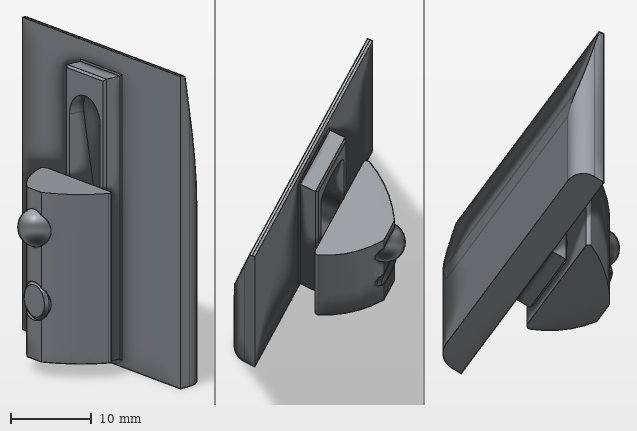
import cadquery as cq
import math


PLATE_WIDTH = 32.0
PLATE_HEIGHT = 40.5
PLATE_DEPTH = 3.8
PLATE_TOP_DEPTH = 0.73
TOP_RIDGE_Y = 0.35
TOP_EDGE_DROP = 0.12
BOTTOM_EDGE_RISE = 0.15
PLATE_SIDE_RADIUS = 2.4
WEDGE_ANGLE = math.radians(8.8)
WEDGE_BLEND_RADIUS = 34.42

BAR_WIDTH = 8.0
BAR_BOTTOM = 1.05
BAR_TOP = 37.7
BAR_DEPTH = 2.6
BAR_FRONT_CHAMFER = 0.3
BAR_FOOT_FLARE = 0.2
BAR_CENTER_Z = (BAR_BOTTOM + BAR_TOP) / 2
BAR_HEIGHT = BAR_TOP - BAR_BOTTOM

SLOT_WIDTH = 6.25
SLOT_TOP = 34.63
SLOT_BOTTOM = 14.6
SLOT_TOP_DEPTH = 1.75

HANDLE_BOTTOM = 1.95
HANDLE_TOP = 23.95
HANDLE_BACK = -3.55
HANDLE_FRONT = -10.55
HANDLE_BACK_HALF = 6.6
HANDLE_HALF_WIDTH = 6.93
HANDLE_SHOULDER = -4.2
CORNER_MID_X = 6.9
CORNER_MID_Y = -3.8
FLANK_MID_X = 4.7
FLANK_MID_Y = -7.75
HANDLE_FLAT_HALF = 1.45

PIN_DIAMETER = 5.0
PIN_TIP_DIAMETER = 4.15
PIN_TIP_CHAMFER = (PIN_DIAMETER - PIN_TIP_DIAMETER) / 2
PIN_Z = 9.5
PIN_BACK = 0.0
DOME_RADIUS = PIN_DIAMETER / 2
DOME_TIP = PLATE_DEPTH - 16.3
DOME_Z = 19.0


def make_plate():
    """Plate with a vertical lower back that blends into a wedge near the top."""
    slope = math.tan(WEDGE_ANGLE)
    wedge_top = PLATE_HEIGHT - TOP_EDGE_DROP
    blend_end_y = PLATE_DEPTH - WEDGE_BLEND_RADIUS * (1 - math.cos(WEDGE_ANGLE))
    blend_end_z = wedge_top - (blend_end_y - PLATE_TOP_DEPTH) / slope
    blend_start_z = blend_end_z - WEDGE_BLEND_RADIUS * math.sin(WEDGE_ANGLE)
    profile = (
        cq.Workplane("YZ", origin=(-PLATE_WIDTH / 2, 0, 0))
        .moveTo(0, 0)
        .lineTo(PLATE_DEPTH, BOTTOM_EDGE_RISE)
        .lineTo(PLATE_DEPTH, blend_start_z)
        .tangentArcPoint((blend_end_y, blend_end_z), relative=False)
        .lineTo(PLATE_TOP_DEPTH, wedge_top)
        .lineTo(TOP_RIDGE_Y, PLATE_HEIGHT)
        .lineTo(0, PLATE_HEIGHT)
        .close()
        .extrude(PLATE_WIDTH)
    )
    rounded_block = (
        cq.Workplane("XY")
        .box(PLATE_WIDTH, 2 * PLATE_DEPTH, PLATE_HEIGHT, centered=(True, True, False))
        .edges("|Z and >Y")
        .fillet(PLATE_SIDE_RADIUS)
    )
    return profile.intersect(rounded_block)


def make_bar():
    """Upright bar with chamfered front edges and a flared foot."""
    bar = (
        cq.Workplane("XZ", origin=(0, 0, BAR_CENTER_Z))
        .rect(BAR_WIDTH, BAR_HEIGHT)
        .extrude(BAR_DEPTH)
        .faces("<Y")
        .chamfer(BAR_FRONT_CHAMFER)
    )
    foot = (
        cq.Workplane("XZ", origin=(0, 0, BAR_CENTER_Z))
        .rect(BAR_WIDTH + 2 * BAR_FOOT_FLARE, BAR_HEIGHT + 2 * BAR_FOOT_FLARE)
        .extrude(BAR_FOOT_FLARE, taper=45)
    )
    return bar.union(foot)


def make_slot():
    """Round-ended cutter whose floor deepens downward, parallel to the wedge."""
    length = SLOT_TOP - SLOT_BOTTOM
    outline = (
        cq.Workplane("XZ", origin=(0, PLATE_DEPTH, (SLOT_TOP + SLOT_BOTTOM) / 2))
        .slot2D(length, SLOT_WIDTH, angle=90)
        .extrude(PLATE_DEPTH + BAR_DEPTH)
    )
    floor_top = SLOT_TOP_DEPTH - BAR_DEPTH
    floor_bottom = floor_top + length * math.tan(WEDGE_ANGLE)
    depth_wedge = (
        cq.Workplane("YZ")
        .moveTo(-BAR_DEPTH, SLOT_BOTTOM)
        .lineTo(floor_bottom, SLOT_BOTTOM)
        .lineTo(floor_top, SLOT_TOP)
        .lineTo(-BAR_DEPTH, SLOT_TOP)
        .close()
        .extrude(SLOT_WIDTH / 2, both=True)
    )
    return outline.intersect(depth_wedge)


def make_pin_blank():
    """Plain cylinder that fills the pin holes of the bar and the handle."""
    return (
        cq.Workplane("XZ", origin=(0, PIN_BACK, PIN_Z))
        .circle(PIN_DIAMETER / 2)
        .extrude(PIN_BACK - HANDLE_FRONT)
    )


def make_base():
    """Plate and bar in one piece, with the finger slot and the pin seat."""
    return make_plate().union(make_bar()).cut(make_slot()).cut(make_pin_blank())


def make_handle():
    """Curved handle with a domed knob and a bore for the pin."""
    handle = (
        cq.Workplane("XY", origin=(0, 0, HANDLE_BOTTOM))
        .moveTo(-HANDLE_BACK_HALF, HANDLE_BACK)
        .lineTo(HANDLE_BACK_HALF, HANDLE_BACK)
        .threePointArc((CORNER_MID_X, CORNER_MID_Y), (HANDLE_HALF_WIDTH, HANDLE_SHOULDER))
        .threePointArc((FLANK_MID_X, FLANK_MID_Y), (HANDLE_FLAT_HALF, HANDLE_FRONT))
        .lineTo(-HANDLE_FLAT_HALF, HANDLE_FRONT)
        .threePointArc((-FLANK_MID_X, FLANK_MID_Y), (-HANDLE_HALF_WIDTH, HANDLE_SHOULDER))
        .threePointArc((-CORNER_MID_X, CORNER_MID_Y), (-HANDLE_BACK_HALF, HANDLE_BACK))
        .close()
        .extrude(HANDLE_TOP - HANDLE_BOTTOM)
    )
    dome = cq.Workplane("XY", origin=(0, DOME_TIP + DOME_RADIUS, DOME_Z)).sphere(DOME_RADIUS)
    return handle.union(dome).cut(make_pin_blank())


def make_pin():
    """Pin from the bar through the handle, with a chamfered tip."""
    return make_pin_blank().faces("<Y").chamfer(PIN_TIP_CHAMFER)


base = make_base()
handle = make_handle()
pin = make_pin()

result = cq.Compound.makeCompound([base.val(), handle.val(), pin.val()])